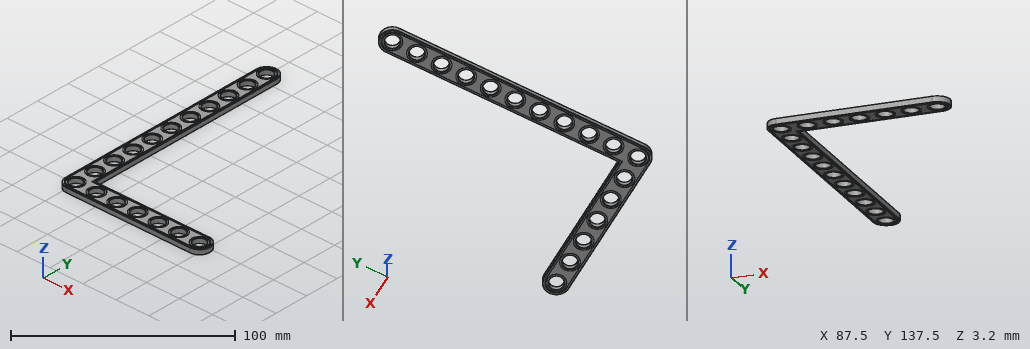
import cadquery as cq
import math

LENGTH = 137.5
LONG_ARM_HOLES = 11
SHORT_ARM_HOLES = 7
THICKNESS = 3.2
HOLE_DIAMETER = 7.0
RIM_WIDTH = 1.1
PANEL_DEPTH = 0.2
EDGE_CHAMFER = 0.3

PITCH = LENGTH / LONG_ARM_HOLES
END_RADIUS = PITCH / 2
LONG_REACH = (LONG_ARM_HOLES - 1) * PITCH
SHORT_REACH = (SHORT_ARM_HOLES - 1) * PITCH
HOLE_RIM_DIAMETER = HOLE_DIAMETER + 2 * RIM_WIDTH

LONG_ARM_CENTRES = [(0, row * PITCH) for row in range(LONG_ARM_HOLES)]
SHORT_ARM_CENTRES = [(column * PITCH, 0) for column in range(1, SHORT_ARM_HOLES)]
HOLE_CENTRES = LONG_ARM_CENTRES + SHORT_ARM_CENTRES


def angle_slab(half_width, height):
    """L-shaped slab standing on Z = 0, with the corner hole centre at the origin."""
    r = half_width
    diagonal = r / math.sqrt(2)
    return (
        cq.Workplane("XY")
        .moveTo(0, -r)
        .lineTo(SHORT_REACH, -r)
        .threePointArc((SHORT_REACH + r, 0), (SHORT_REACH, r))
        .lineTo(r, r)
        .lineTo(r, LONG_REACH)
        .threePointArc((0, LONG_REACH + r), (-r, LONG_REACH))
        .lineTo(-r, 0)
        .threePointArc((-diagonal, -diagonal), (0, -r))
        .close()
        .extrude(height)
    )


def cylinders_at_holes(diameter, height):
    """One cylinder standing on Z = 0 at every hole centre."""
    return cq.Workplane("XY").pushPoints(HOLE_CENTRES).circle(diameter / 2).extrude(height)


def drilled_plate():
    """Full-thickness plate with its holes, every outer and hole edge chamfered."""
    plate = angle_slab(END_RADIUS, THICKNESS).cut(cylinders_at_holes(HOLE_DIAMETER, THICKNESS))
    return plate.faces("<Z or >Z").edges().chamfer(EDGE_CHAMFER)


def panel_recess():
    """Shallow recess that leaves a raised rim along the outline and around each hole."""
    recess = angle_slab(END_RADIUS - RIM_WIDTH, PANEL_DEPTH)
    return recess.cut(cylinders_at_holes(HOLE_RIM_DIAMETER, PANEL_DEPTH))


bottom_recess = panel_recess()
top_recess = bottom_recess.translate((0, 0, THICKNESS - PANEL_DEPTH))
result = drilled_plate().cut(bottom_recess).cut(top_recess)